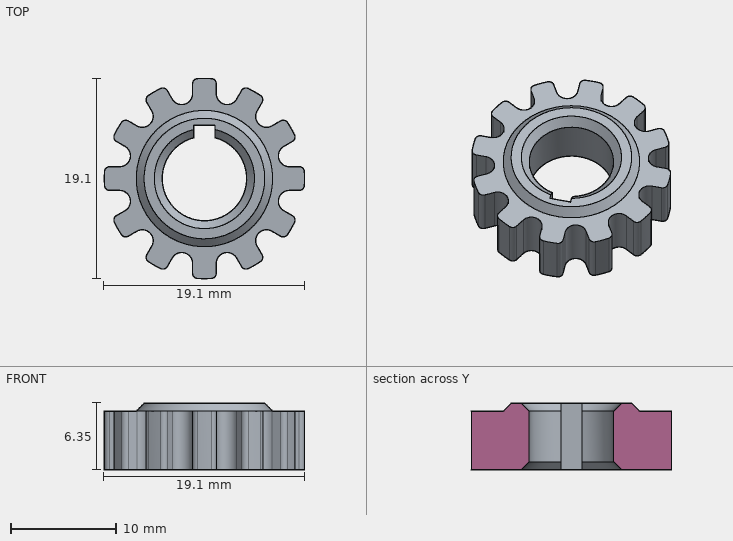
import cadquery as cq
import math

tooth_count = 12
outer_radius = 9.525
tooth_width = 2.27
tip_fillet = 0.5
root_center_radius = 8.345
cutter_overrun = 1.0

total_height = 6.35
hub_height = 0.75
ring_height = total_height - hub_height

hub_base_radius = 6.48
bore_radius = 4.0
bore_chamfer = 0.76

key_width = 2.0
key_floor = 5.06

tooth_pitch = 360 / tooth_count
half_pitch = math.radians(tooth_pitch / 2)
half_tooth = tooth_width / 2
root_radius = root_center_radius * math.sin(half_pitch) - half_tooth
root_tangent_height = root_center_radius * math.cos(half_pitch)
gap_depth_radius = root_center_radius - root_radius
gap_end_height = outer_radius + cutter_overrun
hub_top_radius = hub_base_radius - hub_height


def mirrored_in_gap(x, y):
    """Mirror a point across the centreline of the gap beside the +Y tooth."""
    across = math.sin(2 * half_pitch)
    along = math.cos(2 * half_pitch)
    return (across * y - along * x, along * y + across * x)


def make_gap():
    """Cutter between two parallel-sided teeth, with a root arc tangent to both flanks."""
    flank_outer = (half_tooth, gap_end_height)
    flank_inner = (half_tooth, root_tangent_height)
    root_bottom = (gap_depth_radius * math.sin(half_pitch), gap_depth_radius * math.cos(half_pitch))
    return (
        cq.Workplane("XY")
        .moveTo(*flank_outer)
        .lineTo(*flank_inner)
        .threePointArc(root_bottom, mirrored_in_gap(*flank_inner))
        .lineTo(*mirrored_in_gap(*flank_outer))
        .close()
        .extrude(ring_height)
    )


def make_toothed_ring():
    """Disc with the tooth gaps removed and the tooth tip corners rounded."""
    ring = cq.Workplane("XY").circle(outer_radius).extrude(ring_height)
    gap = make_gap()
    for index in range(tooth_count):
        ring = ring.cut(gap.rotate((0, 0, 0), (0, 0, 1), index * tooth_pitch))

    corner_height = math.sqrt(outer_radius**2 - half_tooth**2)
    corner_angle = math.atan2(half_tooth, corner_height)
    corners = []
    for index in range(tooth_count):
        for side in (-1, 1):
            angle = math.radians(index * tooth_pitch) + side * corner_angle
            corners.append((outer_radius * math.cos(angle), outer_radius * math.sin(angle), ring_height / 2))
    for corner in corners:
        ring = ring.edges(cq.selectors.NearestToPointSelector(corner)).fillet(tip_fillet)
    return ring


def make_hub():
    """Short 45 degree cone on top of the ring."""
    return (
        cq.Workplane("XZ")
        .moveTo(0, ring_height)
        .lineTo(hub_base_radius, ring_height)
        .lineTo(hub_top_radius, total_height)
        .lineTo(0, total_height)
        .close()
        .revolve(360, (0, 0, 0), (0, 1, 0))
    )


def make_bore():
    """Through bore with a 45 degree chamfer at both ends."""
    mouth_radius = bore_radius + bore_chamfer
    return (
        cq.Workplane("XZ")
        .moveTo(0, 0)
        .lineTo(mouth_radius, 0)
        .lineTo(bore_radius, bore_chamfer)
        .lineTo(bore_radius, total_height - bore_chamfer)
        .lineTo(mouth_radius, total_height)
        .lineTo(0, total_height)
        .close()
        .revolve(360, (0, 0, 0), (0, 1, 0))
    )


def make_keyway():
    """Rectangular keyway running the full height on the +Y side of the bore."""
    return cq.Workplane("XY").box(key_width, key_floor, total_height, centered=(True, False, False))


result = make_toothed_ring().union(make_hub()).cut(make_bore()).cut(make_keyway())